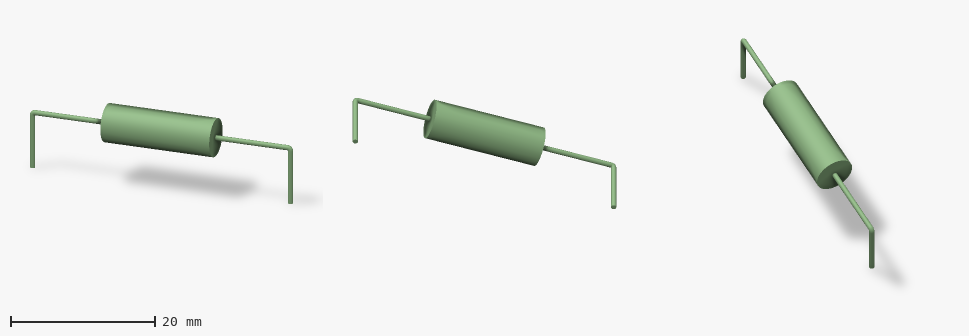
import cadquery as cq

overall_length = 38.75
overall_height = 11.0
body_diameter = 5.5
body_length = 16.05
wire_diameter = 0.75
bend_radius = 0.4

wire_radius = wire_diameter / 2
body_end = body_length / 2
leg_x = overall_length / 2 - wire_radius
bend_start = leg_x - bend_radius
leg_bottom = body_diameter / 2 - overall_height


def make_body():
    """Plain cylinder centred on the origin."""
    return (
        cq.Workplane("YZ", origin=(-body_end, 0, 0))
        .circle(body_diameter / 2)
        .extrude(body_length)
    )


def make_lead():
    """Right-hand wire: straight out from the body end, round elbow, then straight down."""
    centre_line = (
        cq.Workplane("XZ")
        .moveTo(body_end, 0)
        .lineTo(bend_start, 0)
        .tangentArcPoint((leg_x, -bend_radius), relative=False)
        .lineTo(leg_x, leg_bottom)
    )
    return (
        cq.Workplane("YZ", origin=(body_end, 0, 0))
        .circle(wire_radius)
        .sweep(centre_line)
    )


body = make_body()
leads = [make_lead().rotate((0, 0, 0), (0, 0, 1), angle) for angle in (0, 180)]

result = cq.Compound.makeCompound([body.val(), *[lead.val() for lead in leads]])